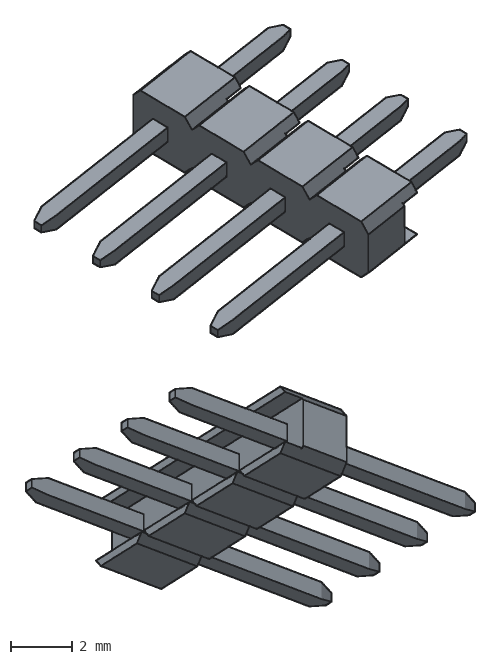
import cadquery as cq


PIN_COUNT = 4
PITCH = 2.54
ROW_LENGTH = PIN_COUNT * PITCH

BODY_DEPTH = 2.5
BODY_HEIGHT = 2.5
CHAMFER_X = 0.31
CHAMFER_Z = 0.39

CHANNEL_DEPTH = 0.7
LIP_THICKNESS = 0.32

PIN_WIDTH = 0.64
TIP_WIDTH = 0.32
TIP_LENGTH = 0.55
PIN_FRONT_REACH = 6.1
PIN_BACK_REACH = 3.8
PIN_SIDE_OFFSET = -0.1
PIN_LENGTH = PIN_FRONT_REACH + BODY_DEPTH + PIN_BACK_REACH
SHANK_LENGTH = PIN_LENGTH - 2 * TIP_LENGTH


def cell_center(index):
    """X position of the middle of one cell in the row."""
    return (index - (PIN_COUNT - 1) / 2) * PITCH


def make_cell(x):
    """Octagonal block that houses one pin."""
    side = PITCH / 2
    flat = side - CHAMFER_X
    top = BODY_HEIGHT / 2
    shoulder = top - CHAMFER_Z
    outline = [
        (x - side, -shoulder),
        (x - flat, -top),
        (x + flat, -top),
        (x + side, -shoulder),
        (x + side, shoulder),
        (x + flat, top),
        (x - flat, top),
        (x - side, shoulder),
    ]
    return cq.Workplane("XZ").polyline(outline).close().extrude(-BODY_DEPTH)


def make_channel():
    """Cutter for the channel that runs the whole row along the back."""
    channel_height = BODY_HEIGHT - 2 * LIP_THICKNESS
    channel_center_y = BODY_DEPTH - CHANNEL_DEPTH / 2
    return (
        cq.Workplane("XY")
        .box(ROW_LENGTH, CHANNEL_DEPTH, channel_height)
        .translate((0, channel_center_y, 0))
    )


def make_body():
    """Row of joined cells with the back channel removed."""
    body = make_cell(cell_center(0))
    for index in range(1, PIN_COUNT):
        body = body.union(make_cell(cell_center(index)))
    return body.cut(make_channel())


def make_pin_section(start_y, start_width, end_width, length):
    """Square section lofted toward +Y from one width to another."""
    return (
        cq.Workplane("XZ", origin=(0, start_y, 0))
        .rect(start_width, start_width)
        .workplane(offset=-length)
        .rect(end_width, end_width)
        .loft(ruled=True)
    )


def make_pin():
    """Square pin, tapered at both ends, on X = 0."""
    front_y = -PIN_FRONT_REACH
    shank_start_y = front_y + TIP_LENGTH
    shank_end_y = shank_start_y + SHANK_LENGTH
    front_tip = make_pin_section(front_y, TIP_WIDTH, PIN_WIDTH, TIP_LENGTH)
    shank = make_pin_section(shank_start_y, PIN_WIDTH, PIN_WIDTH, SHANK_LENGTH)
    back_tip = make_pin_section(shank_end_y, PIN_WIDTH, TIP_WIDTH, TIP_LENGTH)
    return shank.union(front_tip).union(back_tip)


result = make_body()
pin = make_pin()
for cell in range(PIN_COUNT):
    result = result.union(pin.translate((cell_center(cell) + PIN_SIDE_OFFSET, 0, 0)))